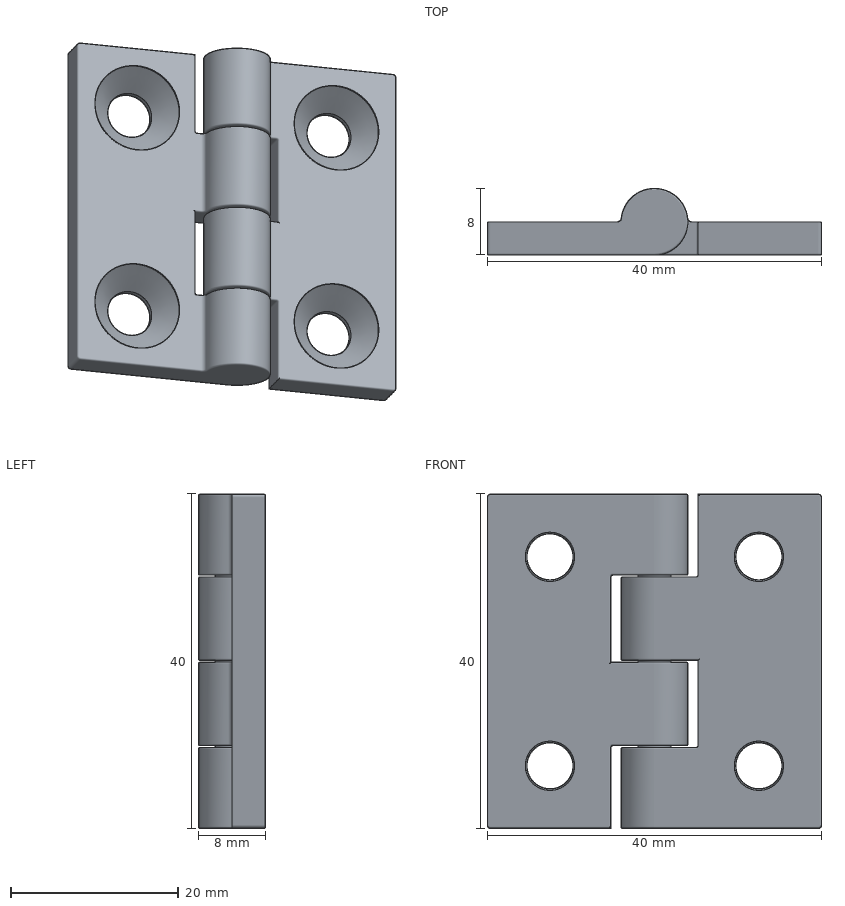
import cadquery as cq
import math


hinge_width = 40.0
hinge_height = 40.0
leaf_thickness = 4.0
corner_radius = 0.4
edge_radius = 0.2
half_width = hinge_width / 2
half_height = hinge_height / 2

barrel_radius = 4.0
barrel_clearance = 1.2
root_radius = 0.5
slot_corner_radius = 0.2
slot_edge_x = -(barrel_radius + barrel_clearance)

middle_gap = 0.2
outer_gap = 0.2
inner_knuckle_length = 10.0
inner_knuckle_top = -middle_gap / 2
inner_knuckle_bottom = inner_knuckle_top - inner_knuckle_length
outer_knuckle_top = half_height
outer_knuckle_bottom = -inner_knuckle_bottom + outer_gap

pin_radius = 2.0
pin_end_cover = 2.0
pin_length = hinge_height - 2 * pin_end_cover

hole_spacing = 25.0
bore_radius = 2.75
bore_depth = 1.0
bore_edge_radius = 0.2
head_radius = 5.3
head_rim_depth = 0.2

tolerance = 0.001


def knuckle(bottom, top):
    """Length of barrel with the strap that joins it to the leaf plate."""
    length = top - bottom
    strap = (
        cq.Workplane("XY", origin=(slot_edge_x, 0, bottom))
        .rect(-slot_edge_x, leaf_thickness, centered=False)
        .extrude(length)
    )
    barrel = cq.Workplane("XY", origin=(0, barrel_radius, bottom)).circle(barrel_radius).extrude(length)
    return strap.union(barrel)


def leaf_blank():
    """Left leaf with sharp edges: the plate and its two knuckles."""
    plate = (
        cq.Workplane("XY", origin=(-half_width, 0, -half_height))
        .rect(half_width + slot_edge_x, leaf_thickness, centered=False)
        .extrude(hinge_height)
    )
    inner_knuckle = knuckle(inner_knuckle_bottom, inner_knuckle_top)
    outer_knuckle = knuckle(outer_knuckle_bottom, outer_knuckle_top)
    return plate.union(inner_knuckle).union(outer_knuckle).clean()


def edges_through_thickness(body, places):
    """Edges along Y that stand at the given (x, z) places."""

    def is_at_a_place(edge):
        center = edge.Center()
        return any(math.dist((center.x, center.z), place) < tolerance for place in places)

    return body.edges("|Y").filter(is_at_a_place)


def is_barrel_root(edge):
    """True for the inside edge between the barrel and the back of its strap."""
    center = edge.Center()
    return math.dist((center.x, center.y), (-barrel_radius, leaf_thickness)) < tolerance


def is_rim_edge(edge):
    """True for the edges around the outline of the leaf and its knuckle ends."""
    box = edge.BoundingBox()
    is_line = edge.geomType() == "LINE"
    runs_through_thickness = is_line and box.ylen > tolerance
    is_barrel_seam = is_line and box.zlen > tolerance and box.xmin > slot_edge_x + tolerance
    return not runs_through_thickness and not is_barrel_seam


def round_edges(body):
    outer_corners = [(-half_width, -half_height), (-half_width, half_height)]
    body = edges_through_thickness(body, outer_corners).fillet(corner_radius)
    slot_corners = [(slot_edge_x, inner_knuckle_bottom), (slot_edge_x, outer_knuckle_bottom)]
    body = edges_through_thickness(body, slot_corners).fillet(slot_corner_radius)
    body = body.edges("|Z").filter(is_barrel_root).fillet(root_radius)
    return body.edges().filter(is_rim_edge).fillet(edge_radius)


def screw_hole(z):
    """Cutter for one hole: rounded mouth, bore, countersink and a short rim for the screw head."""
    return (
        cq.Workplane("XY", origin=(-hole_spacing / 2, 0, z))
        .moveTo(0, 0)
        .lineTo(bore_radius + bore_edge_radius, 0)
        .radiusArc((bore_radius, bore_edge_radius), -bore_edge_radius)
        .lineTo(bore_radius, bore_depth)
        .lineTo(head_radius, leaf_thickness - head_rim_depth)
        .lineTo(head_radius, leaf_thickness)
        .lineTo(0, leaf_thickness)
        .close()
        .revolve(360, (0, 0, 0), (0, 1, 0))
    )


def hinge_pin():
    return cq.Workplane("XY", origin=(0, barrel_radius, -pin_length / 2)).circle(pin_radius).extrude(pin_length)


def left_hinge_leaf():
    body = round_edges(leaf_blank())
    for z in (-hole_spacing / 2, hole_spacing / 2):
        body = body.cut(screw_hole(z))
    return body.cut(hinge_pin())


pin = hinge_pin()
left_leaf = left_hinge_leaf()
right_leaf = left_leaf.rotate((0, 0, 0), (0, 1, 0), 180)

result = cq.Compound.makeCompound([left_leaf.solids().val(), right_leaf.solids().val(), pin.val()])